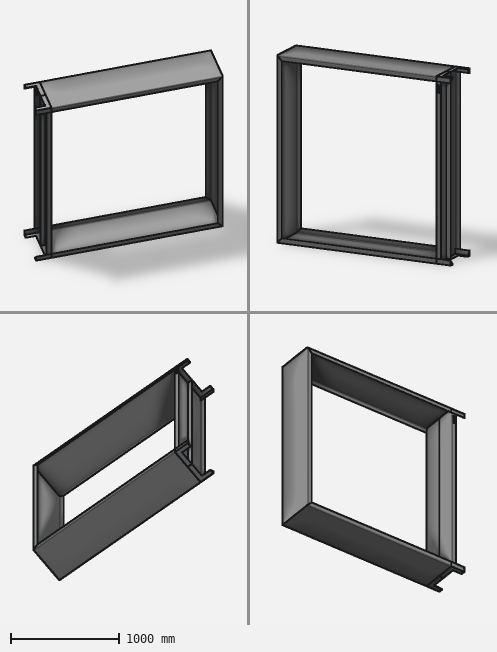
import cadquery as cq

side = 1800.0
width = 400.0
flange = 50.0
sheet = 2.0
bend_radius = 6.0
leg = 99.0

strip = 49.0
hole_radius = 5.0
tab_hole_inset = 18.0

slot_width = 15.0
slot_length = 65.0
slot_drop = 125.0
slot_setback = 22.0
post_hole_drop = 83.0
post_hole_setback = 27.0

half_side = side / 2
half_width = width / 2
tangent_x = half_width - bend_radius
post_front_y = leg - half_side
post_back_y = post_front_y + flange


def channel(channel_width, length):
    """U channel along +Z: its web lies on Y = 0, its flanges point toward -Y."""
    def block(block_width, back_y, radius):
        return (
            cq.Workplane("XY")
            .rect(block_width, 2 * flange)
            .extrude(length)
            .edges("|Z and >Y")
            .fillet(radius)
            .translate((0, back_y - flange, 0))
        )

    outside = block(channel_width, 0, bend_radius)
    inside = block(channel_width - 2 * sheet, -sheet, bend_radius - sheet)
    flange_zone = cq.Workplane("XY").rect(channel_width, 2 * flange).extrude(length)
    return outside.cut(inside).intersect(flange_zone)


def side_profile(points):
    """Prism across the whole frame width, from an outline of (Y, Z) points."""
    return cq.Workplane("YZ").polyline(points).close().extrude(half_width, both=True)


def make_back():
    """Upright channel at the +Y end, mitred at 45 degrees at both ends."""
    upright = channel(width, side).translate((0, half_side, -half_side))
    return upright.intersect(side_profile([(half_side, half_side), (half_side, -half_side), (0, 0)]))


def make_top_rail():
    """Channel along the top; in front of the post backs only its flanges and bends go on."""
    lying = channel(width, side).rotate((0, 0, 0), (1, 0, 0), 90)
    lying = lying.translate((0, half_side, half_side))
    mitre = side_profile([(half_side, half_side), (-half_side, half_side), (-half_side, 0), (0, 0)])
    web_opening = (
        cq.Workplane("XY")
        .rect(2 * tangent_x, 2 * (leg + flange))
        .extrude(bend_radius)
        .translate((0, -half_side, half_side - bend_radius))
    )
    return lying.intersect(mitre).cut(web_opening)


def make_right_top_bracket():
    """L-shaped plate that fills half of the web opening, with a triangular tab at the leg end."""
    strip_x = half_width - strip
    plate = (
        cq.Workplane("XY", origin=(0, 0, half_side - sheet))
        .polyline([
            (0, post_back_y), (0, post_front_y), (strip_x, post_front_y),
            (strip_x, -half_side), (tangent_x, -half_side), (tangent_x, post_back_y),
        ])
        .close()
        .extrude(sheet)
    )
    inner_x = half_width - sheet
    inner_z = half_side - sheet
    tab = (
        cq.Workplane("XZ", origin=(0, -half_side, 0))
        .polyline([(strip_x, inner_z), (inner_x, inner_z), (inner_x, half_side - strip)])
        .close()
        .extrude(-sheet)
        .edges("|Y and >X and >Z")
        .fillet(bend_radius - sheet)
    )
    hole = (
        cq.Workplane("XZ", origin=(0, -half_side, 0))
        .center(half_width - tab_hole_inset, half_side - tab_hole_inset)
        .circle(hole_radius)
        .extrude(-sheet)
    )
    return plate.union(tab).cut(hole)


def make_left_post():
    """Channel over the left half width; its outer flange stops at the flanges of the rails."""
    height = side - 2 * sheet
    post = channel(half_width, height).translate((-half_width / 2, post_back_y, -height / 2))
    for end in (-1, 1):
        notch = cq.Workplane("XY").box(2 * bend_radius, 2 * flange, 2 * flange)
        post = post.cut(notch.translate((-half_width, post_back_y - flange / 2, end * half_side)))
    return post


def make_post_opening():
    """Slot and round hole through the outer flange of the left post."""
    flange_plane = cq.Workplane("YZ", origin=(-half_width, 0, 0))
    slot = (
        flange_plane
        .center(post_front_y + slot_setback, half_side - slot_drop)
        .rect(slot_width, slot_length)
        .extrude(sheet)
    )
    hole = (
        flange_plane
        .center(post_front_y + post_hole_setback, half_side - post_hole_drop)
        .circle(hole_radius)
        .extrude(sheet)
    )
    return slot.union(hole)


back = make_back()

top_rail = make_top_rail()
rails = [top_rail, top_rail.mirror("XY")]

plain_post = make_left_post()
posts = [plain_post.cut(make_post_opening()), plain_post.mirror("YZ")]

right_top_bracket = make_right_top_bracket()
brackets = []
for top_bracket in (right_top_bracket, right_top_bracket.mirror("YZ")):
    brackets += [top_bracket, top_bracket.mirror("XY")]

bodies = [back, *rails, *posts, *brackets]
result = cq.Compound.makeCompound([body.val() for body in bodies])